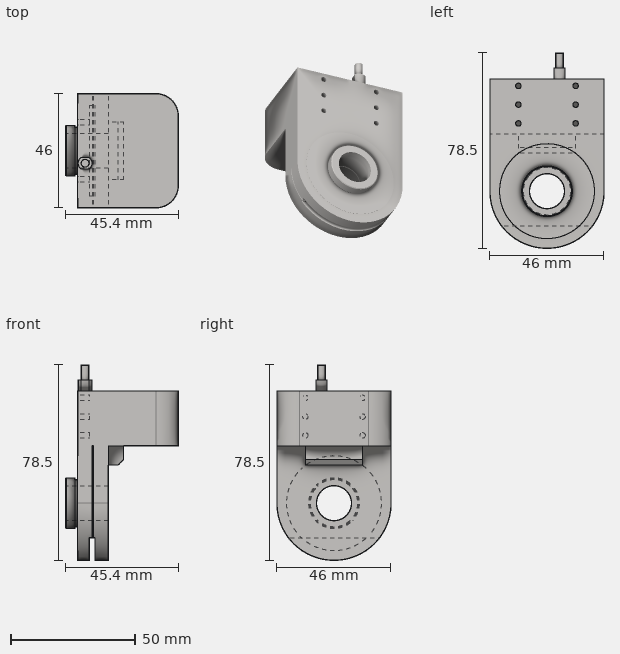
import cadquery as cq


overall_height = 78.5

width = 46.0
end_radius = width / 2
top_z = 45.1
block_length = 40.5
block_height = 22.1
block_corner_radius = 9.1
plate_thickness = 12.3
block_bottom_z = top_z - block_height

gap_front_x = 5.9
gap_width = 0.5
wide_gap_front_x = 4.7
wide_gap_width = 2.2
wide_gap_top_z = -14.0

bore_diameter = 14.0
face_disc_diameter = 38.15
face_disc_height = 0.1
neck_diameter = 19.0
flange_diameter = 20.4
flange_thickness = 3.8
flange_chamfer = 0.3
bushing_length = 4.9
embed_depth = 1.6

hole_diameter = 2.2
hole_depth = 4.7
hole_column_spacing = 23.0
hole_row_spacing = 7.5
hole_rows = 3
first_hole_drop = 2.8

stop_length = 6.1
stop_height = 7.7
stop_width = 23.0
stop_chamfer = 2.2

cable_x = 3.0
cable_y = -5.0
collar_diameter = 5.6
collar_across_flats = 4.5
collar_height = 4.4
cable_diameter = 3.15
cable_length = overall_height - (top_z + end_radius) - collar_height


def box_between(x_min, x_max, y_size, z_min, z_max):
    """Box centred on Y = 0."""
    return (
        cq.Workplane("XY")
        .box(x_max - x_min, y_size, z_max - z_min, centered=(False, True, False))
        .translate((x_min, 0, z_min))
    )


def cylinder_along_x(diameter, x_min, x_max):
    """Cylinder on the bore axis."""
    return cq.Workplane("YZ", origin=(x_min, 0, 0)).circle(diameter / 2).extrude(x_max - x_min)


def make_housing():
    block = box_between(0, block_length, width, block_bottom_z, top_z)
    block = block.edges("|Z and >X").fillet(block_corner_radius)
    plate = box_between(0, plate_thickness, width, 0, block_bottom_z)
    rounded_end = cylinder_along_x(width, 0, plate_thickness)
    return block.union(plate).union(rounded_end)


def make_gap():
    thin = box_between(gap_front_x, gap_front_x + gap_width, width, -end_radius, block_bottom_z)
    wide = box_between(
        wide_gap_front_x, wide_gap_front_x + wide_gap_width, width, -end_radius, wide_gap_top_z
    )
    return thin.union(wide)


def make_bushing():
    flange_back_x = flange_thickness - bushing_length
    disc = cylinder_along_x(face_disc_diameter, -face_disc_height, embed_depth)
    neck = cylinder_along_x(neck_diameter, flange_back_x, embed_depth)
    flange = cylinder_along_x(flange_diameter, -bushing_length, flange_back_x)
    flange = flange.faces("<X").edges().chamfer(flange_chamfer)
    return disc.union(neck).union(flange)


def make_front_holes():
    first_row_z = top_z - first_hole_drop
    centres = [
        (side * hole_column_spacing / 2, first_row_z - row * hole_row_spacing)
        for side in (-1, 1)
        for row in range(hole_rows)
    ]
    return cq.Workplane("YZ").pushPoints(centres).circle(hole_diameter / 2).extrude(hole_depth)


def make_stop():
    stop = box_between(
        plate_thickness,
        plate_thickness + stop_length,
        stop_width,
        block_bottom_z - stop_height,
        block_bottom_z,
    )
    return stop.edges(">X and <Z").chamfer(stop_chamfer)


def make_cable_outlet():
    base = cq.Workplane("XY", origin=(cable_x, cable_y, top_z))
    collar = base.circle(collar_diameter / 2).extrude(collar_height)
    flats = base.rect(collar_diameter, collar_across_flats).extrude(collar_height)
    cable = base.circle(cable_diameter / 2).extrude(collar_height + cable_length)
    return collar.intersect(flats).union(cable)


bore = cylinder_along_x(bore_diameter, -bushing_length, plate_thickness)

result = (
    make_housing()
    .union(make_stop())
    .union(make_bushing())
    .union(make_cable_outlet())
    .cut(make_gap())
    .cut(make_front_holes())
    .cut(bore)
)